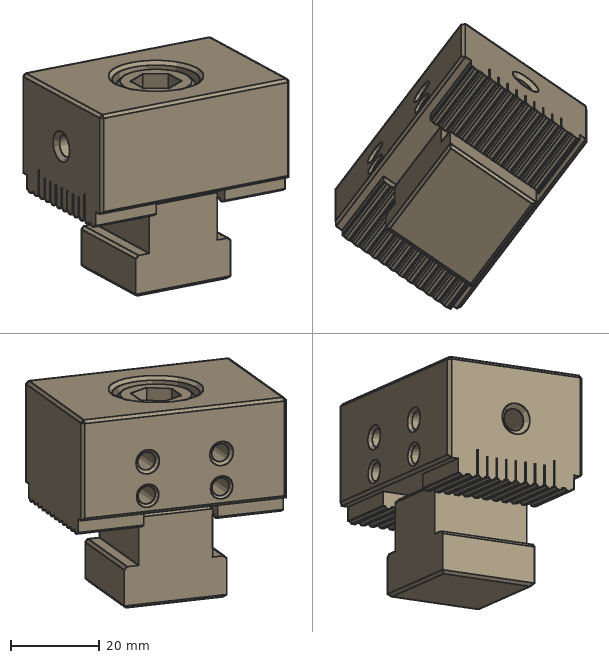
import cadquery as cq
import math


EDGE_CHAMFER = 0.7

TOP_Z = 47.25
STEP_Z = TOP_Z - 23.75
TOOTH_TIP_Z = TOP_Z - 27.6
TOOTH_HEIGHT = 0.55
TOOTH_ROOT_Z = TOOTH_TIP_Z + TOOTH_HEIGHT
NUT_TOP_Z = TOP_Z - 25.25
NUT_SHOULDER_Z = TOP_Z - 37.35

BLOCK_X = 35.0
BLOCK_Y = 50.0
RAIL_X = 30.25

TOOTH_PITCH = 2.5
TOOTH_COUNT = 12
TOOTH_TIP_WIDTH = 0.85

MARK_STEPS = 4
MARK_WIDTH = 0.2
MARK_DEPTH = 0.2
SHORT_MARK_TOP_Z = TOP_Z - 22.4
LONG_MARK_TOP_Z = TOP_Z - 21.05

FRONT_HOLE_Z = TOP_Z - 12.5
FRONT_HOLE_DIAMETER = 5.1
FRONT_HOLE_MOUTH = 7.2
SIDE_HOLE_Y = 9.0
SIDE_HOLE_DIAMETER = 4.2
UPPER_HOLE_Z = TOP_Z - 11.4
UPPER_HOLE_MOUTH = 5.7
LOWER_HOLE_Z = TOP_Z - 19.4
LOWER_HOLE_MOUTH = 5.4
HOLE_DEPTH = 10.0

NUT_X = 24.0
NUT_NECK_Y = 18.0
NUT_FOOT_Y = 25.0

SHANK_DIAMETER = 12.0
SHANK_LENGTH = 30.0
HEAD_DIAMETER = 18.0
HEAD_HEIGHT = SHANK_DIAMETER
HEAD_CHAMFER = 0.85
HEAD_RECESS = 1.25
HEXAGON_SIDES = 6
SOCKET_FLATS = 10.0
SOCKET_DEPTH = 6.0
HEAD_TOP_Z = TOP_Z - HEAD_RECESS
SEAT_Z = HEAD_TOP_Z - HEAD_HEIGHT
SCREW_END_Z = SEAT_Z - SHANK_LENGTH
COUNTERBORE_DIAMETER = 19.8
COUNTERBORE_MOUTH = 21.5


def box_between(size_x, size_y, bottom_z, top_z):
    """Box centred on the Z axis between two levels."""
    height = top_z - bottom_z
    return cq.Workplane("XY", origin=(0, 0, bottom_z)).rect(size_x, size_y).extrude(height)


def cylinder_between(diameter, bottom_z, top_z):
    """Cylinder on the Z axis between two levels."""
    return cq.Workplane("XY", origin=(0, 0, bottom_z)).circle(diameter / 2).extrude(top_z - bottom_z)


def countersunk_bore(diameter, mouth, depth, position, direction):
    """Flat-bottomed bore with a 45 degree mouth, from a point on a face along a direction."""
    countersink = (mouth - diameter) / 2
    start = cq.Vector(*position)
    axis = cq.Vector(*direction)
    bore = cq.Solid.makeCylinder(diameter / 2, depth, start, axis)
    cone = cq.Solid.makeCone(mouth / 2, diameter / 2, countersink, start, axis)
    return cq.Workplane(bore.fuse(cone))


def serrated_foot():
    """Foot under the block, with teeth that run along Y."""
    outline = [(-RAIL_X / 2, STEP_Z), (-RAIL_X / 2, TOOTH_ROOT_Z)]
    half_tip = TOOTH_TIP_WIDTH / 2
    for i in range(TOOTH_COUNT):
        middle = (i - (TOOTH_COUNT - 1) / 2) * TOOTH_PITCH
        outline += [
            (middle - half_tip - TOOTH_HEIGHT, TOOTH_ROOT_Z),
            (middle - half_tip, TOOTH_TIP_Z),
            (middle + half_tip, TOOTH_TIP_Z),
            (middle + half_tip + TOOTH_HEIGHT, TOOTH_ROOT_Z),
        ]
    outline += [(RAIL_X / 2, TOOTH_ROOT_Z), (RAIL_X / 2, STEP_Z)]
    foot = cq.Workplane("XZ").polyline(outline).close().extrude(BLOCK_Y / 2, both=True)
    channel = box_between(BLOCK_X, NUT_NECK_Y, TOOTH_TIP_Z, STEP_Z)
    return foot.cut(channel)


def graduation_marks():
    """Engraved lines above the tooth roots, with longer ones at both ends."""
    marks = cq.Workplane("XY")
    for i in range(-MARK_STEPS, MARK_STEPS + 1):
        top_z = LONG_MARK_TOP_Z if abs(i) == MARK_STEPS else SHORT_MARK_TOP_Z
        mark = box_between(MARK_WIDTH, 2 * MARK_DEPTH, TOOTH_TIP_Z, top_z)
        marks = marks.add(mark.translate((i * TOOTH_PITCH, -BLOCK_Y / 2, 0)))
    return marks.combine()


def make_block():
    """Block with its serrated foot, marks, face holes and stepped screw hole."""
    block = box_between(BLOCK_X, BLOCK_Y, STEP_Z, TOP_Z)
    block = block.edges("|Z or >Z or (<Z and |Y)").chamfer(EDGE_CHAMFER)
    block = block.union(serrated_foot())
    block = block.cut(graduation_marks())

    front_face = (0, -BLOCK_Y / 2, FRONT_HOLE_Z)
    block = block.cut(
        countersunk_bore(FRONT_HOLE_DIAMETER, FRONT_HOLE_MOUTH, HOLE_DEPTH, front_face, (0, 1, 0))
    )
    for y in (-SIDE_HOLE_Y, SIDE_HOLE_Y):
        for z, mouth in ((UPPER_HOLE_Z, UPPER_HOLE_MOUTH), (LOWER_HOLE_Z, LOWER_HOLE_MOUTH)):
            side_face = (-BLOCK_X / 2, y, z)
            block = block.cut(
                countersunk_bore(SIDE_HOLE_DIAMETER, mouth, HOLE_DEPTH, side_face, (1, 0, 0))
            )

    counterbore_depth = TOP_Z - SEAT_Z
    top_face = (0, 0, TOP_Z)
    block = block.cut(
        countersunk_bore(COUNTERBORE_DIAMETER, COUNTERBORE_MOUTH, counterbore_depth, top_face, (0, 0, -1))
    )
    return block.cut(cylinder_between(SHANK_DIAMETER, TOOTH_TIP_Z, SEAT_Z))


def make_t_nut():
    """T-shaped nut along X, with a blind hole for the screw."""
    neck = box_between(NUT_X, NUT_NECK_Y, NUT_SHOULDER_Z, NUT_TOP_Z)
    neck = neck.faces(">Z").edges().chamfer(EDGE_CHAMFER)
    foot = box_between(NUT_X, NUT_FOOT_Y, 0, NUT_SHOULDER_Z)
    foot = foot.edges("<Z or (>Z and |X)").chamfer(EDGE_CHAMFER)
    screw_hole = cylinder_between(SHANK_DIAMETER, SCREW_END_Z, NUT_TOP_Z)
    return foot.union(neck).cut(screw_hole)


def make_screw():
    """Cap screw with a hexagon socket."""
    head = cylinder_between(HEAD_DIAMETER, SEAT_Z, HEAD_TOP_Z).faces(">Z").edges().chamfer(HEAD_CHAMFER)
    shank = cylinder_between(SHANK_DIAMETER, SCREW_END_Z, SEAT_Z)
    socket_corners = SOCKET_FLATS / math.cos(math.pi / HEXAGON_SIDES)
    socket = (
        cq.Workplane("XY", origin=(0, 0, HEAD_TOP_Z))
        .polygon(HEXAGON_SIDES, socket_corners)
        .extrude(-SOCKET_DEPTH)
    )
    return head.union(shank).cut(socket)


block = make_block()
t_nut = make_t_nut()
screw = make_screw()

result = cq.Compound.makeCompound([block.val(), t_nut.val(), screw.val()])